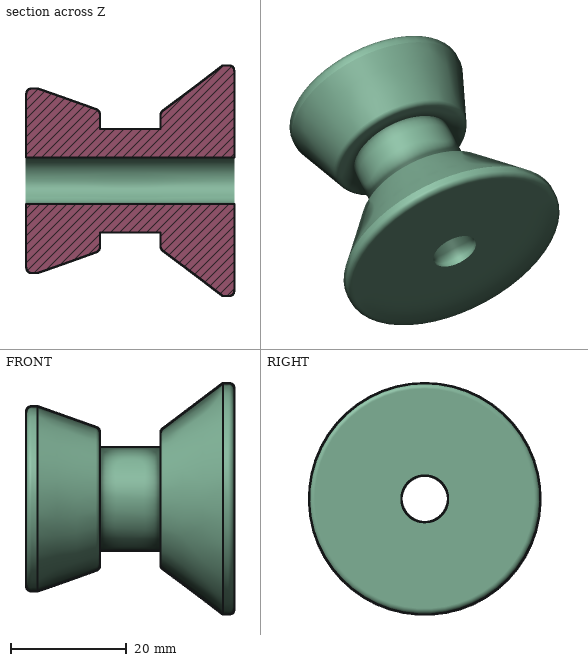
import cadquery as cq

length = 36.0
hub_radius = 9.0
bore_radius = 4.0
edge_radius = 1.0

small_rim_radius = 16.0
small_rim_width = 2.0
small_neck_radius = 12.15
small_flange_width = 12.8

large_rim_radius = 20.0
large_rim_width = 2.0
large_neck_radius = 11.85
large_flange_width = 12.8


def flange(rim_radius, rim_width, neck_radius, width):
    """Flange with its outer face at x = 0, tapering toward +X, with rounded edges."""
    profile = (
        cq.Workplane("XZ")
        .moveTo(0, 0)
        .lineTo(0, rim_radius)
        .lineTo(rim_width, rim_radius)
        .lineTo(width, neck_radius)
        .lineTo(width, 0)
        .close()
    )
    body = profile.revolve(360, (0, 0, 0), (1, 0, 0))
    return body.faces("<X or >X").edges().fillet(edge_radius)


half_length = length / 2
small_flange = flange(
    small_rim_radius, small_rim_width, small_neck_radius, small_flange_width
).translate((-half_length, 0, 0))

large_flange = (
    flange(large_rim_radius, large_rim_width, large_neck_radius, large_flange_width)
    .mirror("YZ")
    .translate((half_length, 0, 0))
)

axle_plane = cq.Workplane("YZ", origin=(-half_length, 0, 0))
hub = axle_plane.circle(hub_radius).extrude(length)
bore = axle_plane.circle(bore_radius).extrude(length)

result = small_flange.union(hub).union(large_flange).cut(bore)